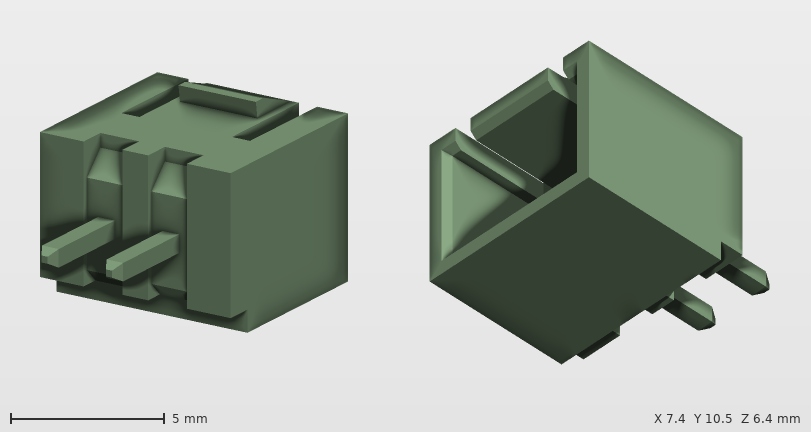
import cadquery as cq


width = 7.4
depth = 7.0
height = 5.8
step_depth = 1.0
step_height = 0.8

pitch = 2.5
pin_size = 0.64
pin_reach = 3.5
tip_length = 0.36
tip_size = 0.24
pin_z = height / 2
pin_positions = (-pitch / 2, pitch / 2)

pocket_width = 1.5
pocket_depth = step_depth
pad_recess = 0.2
pad_slope = pocket_depth - pad_recess
slope_margin = 0.5

slot_width = 0.7
slot_length = 4.0
slot_outer_x = 2.5
cavity_depth = slot_length
wall = 0.8
mouth_chamfer = 0.25

latch_width = 3.0
latch_height = 0.6
latch_foot = 2.03
latch_tip = 2.12
latch_flat_start = 1.72


def make_housing():
    body = cq.Workplane("XY").box(width, depth, height, centered=(True, False, False))
    step = cq.Workplane("XY").box(width, step_depth, step_height, centered=(True, False, False))
    return body.cut(step)


def make_cavity():
    inner_width = width - 2 * wall
    inner_height = height - 2 * wall
    mouth = cq.Workplane("XZ", origin=(0, depth, height / 2))
    cavity = mouth.rect(inner_width, inner_height).extrude(cavity_depth)
    lead_in = (
        mouth.rect(inner_width + 2 * mouth_chamfer, inner_height + 2 * mouth_chamfer)
        .workplane(offset=mouth_chamfer)
        .rect(inner_width, inner_height)
        .loft(combine=True)
    )
    return cavity.union(lead_in)


def make_slot(side):
    slot_x = side * (slot_outer_x - slot_width / 2)
    return (
        cq.Workplane("XY", origin=(slot_x, depth - slot_length / 2, height / 2))
        .rect(slot_width, slot_length)
        .extrude(height / 2)
    )


def make_pocket(x):
    upper_slope_top = height - slope_margin
    upper_slope_bottom = upper_slope_top - pad_slope
    lower_slope_top = height - upper_slope_bottom
    lower_end_depth = pad_recess + lower_slope_top - step_height
    return (
        cq.Workplane("YZ", origin=(x - pocket_width / 2, 0, 0))
        .moveTo(0, height)
        .lineTo(pocket_depth, height)
        .lineTo(pocket_depth, upper_slope_top)
        .lineTo(pad_recess, upper_slope_bottom)
        .lineTo(pad_recess, lower_slope_top)
        .lineTo(lower_end_depth, step_height)
        .lineTo(0, step_height)
        .close()
        .extrude(pocket_width)
    )


def make_pin(x):
    shank_end = pin_reach - tip_length
    shank = (
        cq.Workplane("XZ", origin=(x, pocket_depth, pin_z))
        .rect(pin_size, pin_size)
        .extrude(pocket_depth + shank_end)
    )
    tip = (
        cq.Workplane("XZ", origin=(x, -shank_end, pin_z))
        .rect(pin_size, pin_size)
        .workplane(offset=tip_length)
        .rect(tip_size, tip_size)
        .loft(combine=True)
    )
    return shank.union(tip)


def make_latch():
    latch_top = height + latch_height
    return (
        cq.Workplane("YZ", origin=(-latch_width / 2, 0, 0))
        .moveTo(depth, height)
        .lineTo(depth - latch_flat_start, latch_top)
        .lineTo(depth - latch_tip, latch_top)
        .lineTo(depth - latch_foot, height)
        .close()
        .extrude(latch_width)
    )


result = make_housing().cut(make_cavity())
for side in (-1, 1):
    result = result.cut(make_slot(side))
for x in pin_positions:
    result = result.cut(make_pocket(x)).union(make_pin(x))
result = result.union(make_latch())